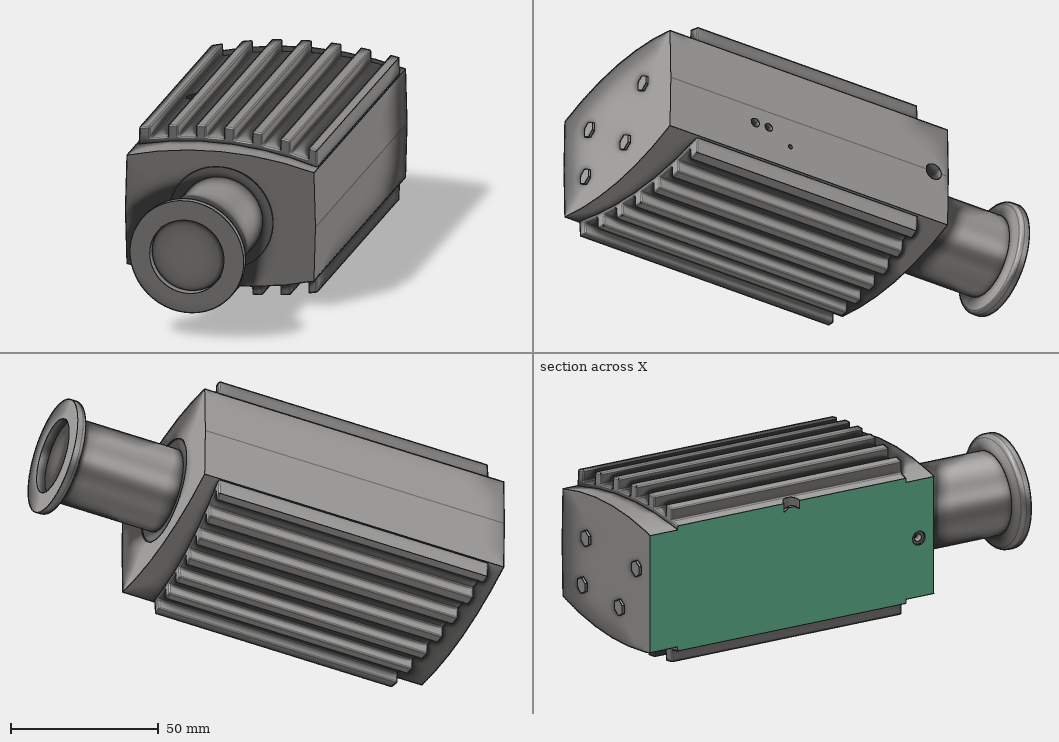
import cadquery as cq
import math

WIDTH = 67.0
EDGE_WIDTH = 65.9
EDGE_Z = 19.4
CROWN_Z = 23.9
LENGTH = 111.6
FRONT = -LENGTH / 2
BACK = LENGTH / 2

HALF_EDGE = EDGE_WIDTH / 2
RISE = CROWN_Z - EDGE_Z
DOME_RADIUS = (HALF_EDGE**2 + RISE**2) / (2 * RISE)
DOME_CENTRE_Z = CROWN_Z - DOME_RADIUS

TOTAL_HEIGHT = 59.0
FIN_TOP_RADIUS = TOTAL_HEIGHT / 2 - DOME_CENTRE_Z
PAD_FLOOR_HEIGHT = 1.4
FLOOR_RADIUS = DOME_RADIUS + PAD_FLOOR_HEIGHT
FIN_COUNT = 7
FIN_PITCH = 10.2
FIN_WIDTH = 3.5
FIN_OFFSET = 0.6
FIN_FILLET = 0.5
PAD_LEFT = -32.2
PAD_RIGHT = 32.6
PAD_LEFT_LENGTH = 89.0
PAD_RIGHT_LENGTH = 101.0
PAD_ROOT_DEPTH = 3.1
PAD_ROOT_Z = EDGE_Z - PAD_ROOT_DEPTH
PAD_DRAFT = 2.0

POCKET_X = -25.0
POCKET_DIAMETER = 6.0
POCKET_DEPTH = 3.1
POCKET_MOUTH = 1.5
BUTTON_TOP_DIAMETER = 2.5
BUTTON_HEIGHT = 1.2

STEP_HOLE = [(6.0, 7.7), (4.8, 9.2), (2.8, 12.3)]
STEP_HOLE_Y = FRONT + 5.8
SIDE_HOLES = [(3.2, 21.7, -6.0), (3.0, 16.3, -6.0), (1.5, 7.5, -10.6)]
SIDE_HOLE_DEPTH = 4.6

SCREW_FLATS = 5.1
SCREW_HEIGHT = 1.0
SCREW_PLACES = [(-16.8, 6.8), (16.8, 6.8), (-5.5, -11.0), (19.2, -11.0)]

SEAT_DIAMETER = 36.6
SEAT_DEPTH = 0.5
PIPE_X = 0.2
PIPE_DIAMETER = 29.2
PIPE_REACH = 41.4
FLANGE_DIAMETER = 40.0
FLANGE_THICKNESS = 4.6
FLANGE_CONE_ANGLE = 15.0
RIM_FILLET = 1.5
BORE_DIAMETER = 26.2
BORE_DEPTH = 3.1

ABOVE_ROOT = cq.selectors.BoxSelector((-WIDTH, -LENGTH, EDGE_Z), (WIDTH, LENGTH, TOTAL_HEIGHT))


def on_arc(x, radius):
    """Point at X on an arc about the dome's centre line."""
    return (x, DOME_CENTRE_Z + math.sqrt(radius**2 - x**2))


def along_y(y_start):
    """XZ sketch plane at y_start whose extrusions run toward +Y."""
    return cq.Workplane(cq.Plane((0, y_start, 0), xDir=(-1, 0, 0), normal=(0, 1, 0)))


def block():
    return (
        cq.Workplane("XZ", origin=(0, BACK, 0))
        .moveTo(-HALF_EDGE, EDGE_Z)
        .threePointArc((0, CROWN_Z), (HALF_EDGE, EDGE_Z))
        .lineTo(WIDTH / 2, 0)
        .lineTo(HALF_EDGE, -EDGE_Z)
        .threePointArc((0, -CROWN_Z), (-HALF_EDGE, -EDGE_Z))
        .lineTo(-WIDTH / 2, 0)
        .close()
        .extrude(LENGTH)
    )


def fin_section():
    """Bar with the fin and groove section, wider and longer than the pad."""
    centres = [FIN_OFFSET + (i - (FIN_COUNT - 1) / 2) * FIN_PITCH for i in range(FIN_COUNT)]
    left = centres[0] - FIN_WIDTH
    right = centres[-1] + FIN_WIDTH
    outline = cq.Workplane("XZ", origin=(0, BACK, 0)).moveTo(left, PAD_ROOT_Z)
    start = left
    for centre in centres:
        fin_start = start if centre == centres[0] else centre - FIN_WIDTH / 2
        fin_end = right if centre == centres[-1] else centre + FIN_WIDTH / 2
        if centre != centres[0]:
            middle = on_arc((start + fin_start) / 2, FLOOR_RADIUS)
            outline = outline.threePointArc(middle, on_arc(fin_start, FLOOR_RADIUS))
        outline = outline.lineTo(*on_arc(fin_start, FIN_TOP_RADIUS))
        outline = outline.threePointArc(on_arc(centre, FIN_TOP_RADIUS), on_arc(fin_end, FIN_TOP_RADIUS))
        if centre != centres[-1]:
            outline = outline.lineTo(*on_arc(fin_end, FLOOR_RADIUS))
        start = fin_end
    bar = outline.lineTo(right, PAD_ROOT_Z).close().extrude(LENGTH)
    return bar.edges("|Y").edges(ABOVE_ROOT).fillet(FIN_FILLET)


def finned_pad():
    """Fins trimmed to a drafted trapezoid that widens toward +X."""
    trim = (
        cq.Workplane("XY", origin=(0, 0, PAD_ROOT_Z))
        .polyline([
            (PAD_LEFT, -PAD_LEFT_LENGTH / 2),
            (PAD_RIGHT, -PAD_RIGHT_LENGTH / 2),
            (PAD_RIGHT, PAD_RIGHT_LENGTH / 2),
            (PAD_LEFT, PAD_LEFT_LENGTH / 2),
        ])
        .close()
        .extrude(TOTAL_HEIGHT / 2, taper=PAD_DRAFT)
    )
    pad = fin_section().intersect(trim)
    return pad.faces("<Y or >Y").edges(ABOVE_ROOT).fillet(FIN_FILLET)


def button_pocket():
    """Cutter for the pocket that leaves the button standing on its floor."""
    bottom_z = on_arc(POCKET_X, FLOOR_RADIUS)[1] - POCKET_DEPTH
    pocket = (
        cq.Workplane("XY", origin=(POCKET_X, 0, bottom_z))
        .circle(POCKET_DIAMETER / 2)
        .extrude(POCKET_DEPTH + POCKET_MOUTH)
    )
    button = cq.Solid.makeCone(
        POCKET_DIAMETER / 2, BUTTON_TOP_DIAMETER / 2, BUTTON_HEIGHT, cq.Vector(POCKET_X, 0, bottom_z)
    )
    return pocket.cut(cq.Workplane(button))


def side_hole(diameter, depth, y, z):
    return (
        cq.Workplane("YZ", origin=(-WIDTH / 2, y, z))
        .circle(diameter / 2)
        .extrude(depth)
    )


def jack_screw(x, z):
    corner_diameter = SCREW_FLATS / math.cos(math.pi / 6)
    return (
        along_y(BACK)
        .center(-x, z)
        .transformed(rotate=(0, 0, 90))
        .polygon(6, corner_diameter)
        .extrude(SCREW_HEIGHT)
    )


def make_housing():
    pad = finned_pad()
    body = block().union(pad).union(pad.mirror("XY"))
    body = body.cut(button_pocket())
    for diameter, depth in STEP_HOLE:
        body = body.cut(side_hole(diameter, depth, STEP_HOLE_Y, 0))
    for diameter, y, z in SIDE_HOLES:
        body = body.cut(side_hole(diameter, SIDE_HOLE_DEPTH, y, z))
    for x, z in SCREW_PLACES:
        body = body.union(jack_screw(x, z))
    seat = along_y(FRONT).center(-PIPE_X, 0).circle(SEAT_DIAMETER / 2).extrude(SEAT_DEPTH)
    return body.cut(seat)


def make_pipe():
    face_y = FRONT - PIPE_REACH
    pipe_radius = PIPE_DIAMETER / 2
    flange_radius = FLANGE_DIAMETER / 2
    cone_y = face_y + FLANGE_THICKNESS
    rim_y = cone_y - (flange_radius - pipe_radius) * math.tan(math.radians(FLANGE_CONE_ANGLE))
    pipe = (
        cq.Workplane("XY")
        .polyline([
            (0, face_y),
            (flange_radius, face_y),
            (flange_radius, rim_y),
            (pipe_radius, cone_y),
            (pipe_radius, FRONT + SEAT_DEPTH),
            (0, FRONT + SEAT_DEPTH),
        ])
        .close()
        .revolve(360, (0, 0, 0), (0, 1, 0))
    )
    rim = cq.selectors.NearestToPointSelector((0, rim_y, 0))
    pipe = pipe.edges("%CIRCLE").edges(rim).fillet(RIM_FILLET)
    bore = along_y(face_y).circle(BORE_DIAMETER / 2).extrude(BORE_DEPTH)
    return pipe.cut(bore).translate((PIPE_X, 0, 0))


housing = make_housing()
pipe = make_pipe()
result = cq.Compound.makeCompound([housing.val(), pipe.val()])